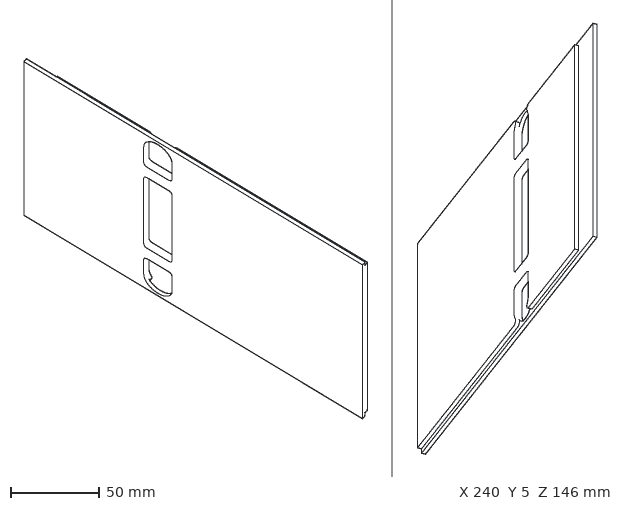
import cadquery as cq
import math

PLATE_LENGTH = 240.0
PLATE_HEIGHT = 146.0
FRONT_THICKNESS = 2.5

BACK_THICKNESS = 2.5
BACK_LEFT_INSET = 20.0
BACK_EDGE_INSET = 3.0

WINDOW_WIDTH = 20.0
WINDOW_CENTER_X = 95.0
WINDOW_CORNER_RADIUS = 2.5
MIDDLE_WINDOW_BOTTOM = 39.0
MIDDLE_WINDOW_HEIGHT = 67.0
BAR_HEIGHT = 10.0
ARCH_TIP_MARGIN = 2.5

MOUTH_RADIUS = 2.5

TOTAL_THICKNESS = FRONT_THICKNESS + BACK_THICKNESS
MIDDLE_WINDOW_TOP = MIDDLE_WINDOW_BOTTOM + MIDDLE_WINDOW_HEIGHT
ARCH_RADIUS = WINDOW_WIDTH / 2
BACK_BOTTOM = BACK_EDGE_INSET
BACK_TOP = PLATE_HEIGHT - BACK_EDGE_INSET
UP = 1
DOWN = -1


def make_plates():
    """Front plate with the smaller back plate fused behind it."""
    front = cq.Workplane("XY").box(PLATE_LENGTH, FRONT_THICKNESS, PLATE_HEIGHT, centered=False)
    back_length = PLATE_LENGTH - BACK_LEFT_INSET
    back = cq.Workplane("XY").box(back_length, BACK_THICKNESS, BACK_TOP - BACK_BOTTOM, centered=False)
    return front.union(back.translate((BACK_LEFT_INSET, FRONT_THICKNESS, BACK_BOTTOM)))


def middle_window():
    """Cutter for the rectangular window with rounded corners."""
    block = cq.Workplane("XY").box(WINDOW_WIDTH, TOTAL_THICKNESS, MIDDLE_WINDOW_HEIGHT, centered=False)
    block = block.edges("|Y").fillet(WINDOW_CORNER_RADIUS)
    return block.translate((WINDOW_CENTER_X - WINDOW_WIDTH / 2, 0, MIDDLE_WINDOW_BOTTOM))


def arched_window(base_z, tip_z, direction):
    """Cutter with rounded corners at its base and a half-round end toward +Z (UP) or -Z (DOWN)."""
    half = WINDOW_WIDTH / 2
    corner = WINDOW_CORNER_RADIUS
    corner_mid = corner * (1 - math.sqrt(0.5))
    spring = abs(tip_z - base_z) - ARCH_RADIUS

    def place(across, outward):
        return (WINDOW_CENTER_X + across, base_z + direction * outward)

    outline = (
        cq.Workplane("XZ")
        .moveTo(*place(corner - half, 0))
        .lineTo(*place(half - corner, 0))
        .threePointArc(place(half - corner_mid, corner_mid), place(half, corner))
        .lineTo(*place(half, spring))
        .threePointArc(place(0, spring + ARCH_RADIUS), place(-half, spring))
        .lineTo(*place(-half, corner))
        .threePointArc(place(corner_mid - half, corner_mid), place(corner - half, 0))
        .close()
    )
    return outline.extrude(-TOTAL_THICKNESS)


def rounded_mouth(edge_z, tip_z, direction):
    """Cutter that opens an arch through the back plate edge with outward-rounded sides.

    Each side is an arc tangent to both the arch and the back plate edge.
    """
    arch_center_z = tip_z - direction * ARCH_RADIUS
    round_center_z = edge_z - direction * MOUTH_RADIUS
    center_rise = abs(round_center_z - arch_center_z)
    center_distance = ARCH_RADIUS + MOUTH_RADIUS
    round_offset = math.sqrt(center_distance**2 - center_rise**2)
    touch_ratio = ARCH_RADIUS / center_distance
    touch_offset = round_offset * touch_ratio
    touch_z = arch_center_z + direction * center_rise * touch_ratio
    neck_offset = round_offset - MOUTH_RADIUS

    def place(across, z):
        return (WINDOW_CENTER_X + across, z)

    outline = (
        cq.Workplane("XZ", origin=(0, FRONT_THICKNESS, 0))
        .moveTo(*place(-touch_offset, touch_z))
        .lineTo(*place(touch_offset, touch_z))
        .threePointArc(place(neck_offset, round_center_z), place(round_offset, edge_z))
        .lineTo(*place(-round_offset, edge_z))
        .threePointArc(place(-neck_offset, round_center_z), place(-touch_offset, touch_z))
        .close()
    )
    return outline.extrude(-BACK_THICKNESS)


result = make_plates().cut(middle_window())
arched_ends = [
    (MIDDLE_WINDOW_TOP + BAR_HEIGHT, PLATE_HEIGHT - ARCH_TIP_MARGIN, BACK_TOP, UP),
    (MIDDLE_WINDOW_BOTTOM - BAR_HEIGHT, ARCH_TIP_MARGIN, BACK_BOTTOM, DOWN),
]
for window_base, arch_tip, back_edge, facing in arched_ends:
    result = result.cut(arched_window(window_base, arch_tip, facing))
    result = result.cut(rounded_mouth(back_edge, arch_tip, facing))